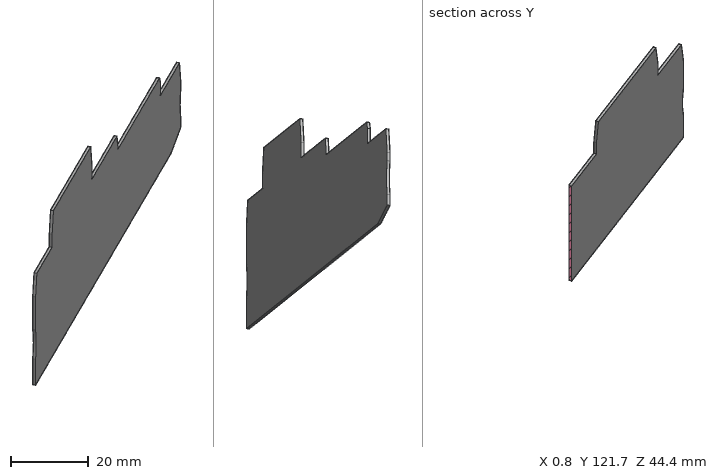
import cadquery as cq

thickness = 0.8
length = 121.7
height = 44.4

front_shelf_z = 33.8
middle_shelf_z = 29.3
back_shelf_z = 23.5

tab_start = 74.4
tab_end = 107.8
front_shelf_start = 53.4
middle_step = 17.0

corner_inset = 1.1
corner_drop = 6.6
middle_corner_inset = 0.7
middle_corner_drop = 1.8
shelf_step_inset = 0.7

chamfer_length = 8.2
chamfer_height = 2.9

grip_height = 9.0
grip_depth = 0.55
front_grip_z = 12.5
back_grip_z = 10.2


def y_at(distance):
    """Y position at a distance from the back end, with the plate centred on Y."""
    return length / 2 - distance


def point(distance, z):
    return (y_at(distance), z)


def end_grip(outline, distance, inward, center_z, direction):
    """Add an arc bulging inward; direction is +1 for upward travel, -1 for downward."""
    half_height = direction * grip_height / 2
    return (
        outline.lineTo(*point(distance, center_z - half_height))
        .threePointArc(
            point(distance + inward * grip_depth, center_z),
            point(distance, center_z + half_height),
        )
    )


outline = cq.Workplane("YZ").moveTo(*point(chamfer_length, 0)).lineTo(*point(0, chamfer_height))
outline = end_grip(outline, 0, 1, back_grip_z, 1)
outline = (
    outline.lineTo(*point(0, back_shelf_z - corner_drop))
    .lineTo(*point(corner_inset, back_shelf_z))
)

outline = (
    outline.lineTo(*point(middle_step, back_shelf_z))
    .lineTo(*point(middle_step, middle_shelf_z - middle_corner_drop))
    .lineTo(*point(middle_step + middle_corner_inset, middle_shelf_z))
    .lineTo(*point(front_shelf_start - shelf_step_inset, middle_shelf_z))
    .lineTo(*point(front_shelf_start, front_shelf_z))
)

outline = (
    outline.lineTo(*point(tab_start, front_shelf_z))
    .lineTo(*point(tab_start, height - corner_drop))
    .lineTo(*point(tab_start + corner_inset, height))
    .lineTo(*point(tab_end - corner_inset, height))
    .lineTo(*point(tab_end, height - corner_drop))
    .lineTo(*point(tab_end, front_shelf_z))
)

outline = (
    outline.lineTo(*point(length - corner_inset, front_shelf_z))
    .lineTo(*point(length, front_shelf_z - corner_drop))
)
outline = end_grip(outline, length, -1, front_grip_z, -1)
outline = outline.lineTo(*point(length, 0)).close()

result = outline.extrude(thickness / 2, both=True)